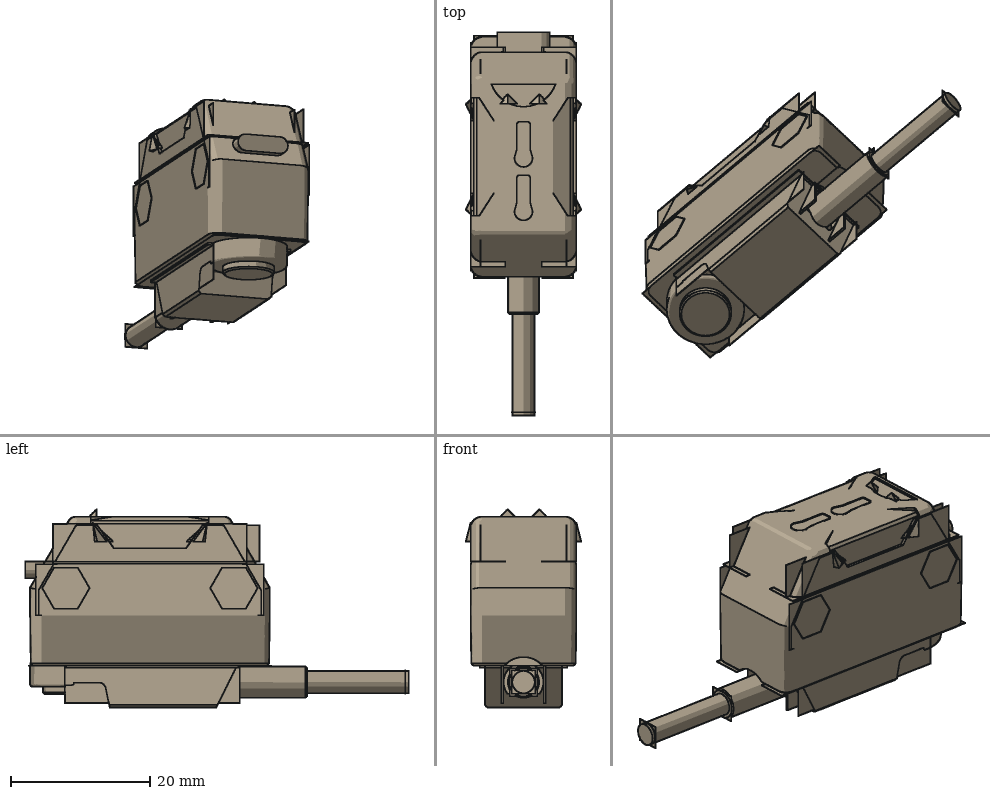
import cadquery as cq
import math

housing_width = 15.2
housing_length = 34.4
floor_z = 6.0
split_z = 13.23
shoulder_z = 17.2
top_z = 27.41
slope_angle = 60.0
top_edge_radius = 1.2
corner_radius = 1.65
lower_draft = 0.8
floor_chamfer = 0.35

half_width = housing_width / 2
half_length = housing_length / 2
slope_run = 1 / math.tan(math.radians(slope_angle))
top_half_length = half_length - (top_z - shoulder_z) * slope_run

foot_half_width = 5.55
foot_front_y = -12.9
foot_top_slope_y = -12.65
foot_bottom_front_y = -9.5
foot_bottom_rear_y = 5.76
foot_step_y = 6.5
foot_step_z = 3.6
foot_step_radius = 1.0
foot_rear_z = 3.0
pad_half_width = 6.3
pad_rear_y = 12.0
pad_bottom_z = 5.7
foot_rear_fillet = 0.4
foot_rear_center_y = half_length - foot_half_width
foot_bottom_chamfer = 0.4
rib_half_width = 3.2
rib_thickness = 0.3
rib_bottom_z = 0.64
boss_radius = 3.7
boss_bottom_z = 1.94
boss_chamfer = 0.25

cable_z = 3.67
cable_radius = 1.6
cable_end_y = -37.12
cable_collar_y = -36.6
sleeve_radius = 2.25
sleeve_end_y = -22.5
sleeve_chamfer = 0.2
sleeve_clearance_radius = 3.6
sleeve_recess_radius = 2.85
sleeve_recess_y = -10.5
sleeve_root_y = -9.5

window_width = 7.6
window_height = 2.43
window_z = 19.77
window_rear_y = 17.88
window_front_y = 13.5

key_stem_half_width = 0.95
key_head_radius = 1.3
key_length = 6.5
key_taper_length = 1.3
key_end_radius = 0.4
key_front_ys = (-1.45, -9.1)
mark_depth = 0.15

thumb_half_width = 4.6
thumb_rear_y = 10.45
thumb_front_y = 7.2
thumb_depth = 0.3

relief_inner_x = 4.25
relief_outer_x = 6.35
relief_slope_end_x = 6.73
relief_depth = 0.6
relief_half_length = 5.2
relief_end_half_length = 8.45
relief_floor_z = 22.9
side_relief_depth = 0.45

groove_bottom_z = 20.65
groove_top_z = 20.95
groove_depth = 0.1

hex_diameter = 6.8
hex_offset_y = 12.05
hex_z = 17.15
hex_depth = 0.1

web = 0.05
upper_web_half_length = 13.9
upper_web_top_z = 26.38
shelf_z = 21.0
inner_web_x = 6.2
inner_web_front_y = -15.75
inner_web_top_z = 26.2
lower_web_half_length = 16.35
lower_web_top_z = 20.6
foot_web_rear_y = 12.2
floor_web_half_width = 7.1
floor_web_half_length = 17.4
shelf_web_inner_x = 2.6
shelf_web_end_y = 15.75
cable_collar_half = 1.7
sleeve_collar_half = 2.0

lug_span = 16.59
side_lug_x = lug_span / 2
side_lug_bottom_z = 23.8
side_lug_top_z = 26.5
side_lug_y = 7.55
side_lug_end_y = 8.2
top_lug_x = 2.27
top_lug_half_width = 1.4
top_lug_tip_z = 28.46
top_lug_y = 7.65


def block(x_range, y_range, z_range):
    """Box between the two limits along each axis."""
    ranges = (x_range, y_range, z_range)
    sizes = [high - low for low, high in ranges]
    corner = [low for low, high in ranges]
    return cq.Workplane("XY").box(*sizes, centered=False).translate(tuple(corner))


def tetrahedron(points):
    """Solid with the four given corners."""
    vectors = [cq.Vector(*point) for point in points]
    faces = []
    for skipped in range(4):
        corners = [vector for index, vector in enumerate(vectors) if index != skipped]
        faces.append(cq.Face.makeFromWires(cq.Wire.makePolygon(corners, close=True)))
    return cq.Workplane(obj=cq.Solid.makeSolid(cq.Shell.makeShell(faces)).fix())


def side_profile(points, x_half):
    """Y-Z polygon extruded symmetrically across X."""
    return cq.Workplane("YZ").polyline(points).close().extrude(x_half, both=True)


def y_cylinder(radius, y_start, y_end):
    """Cylinder on the cable axis."""
    plane = cq.Workplane("XZ", origin=(0, y_start, cable_z))
    return plane.circle(radius).extrude(y_start - y_end)


def on_both_sides(feature):
    """The +X feature and its mirror image."""
    return [feature, feature.mirror("YZ")]


def make_cap():
    """Upper housing half: sloped ends, rounded side edges."""
    outline = [
        (-half_length, split_z),
        (half_length, split_z),
        (half_length, shoulder_z),
        (top_half_length, top_z),
        (-top_half_length, top_z),
        (-half_length, shoulder_z),
    ]
    cap = side_profile(outline, half_width)
    cap = cap.edges("|X").edges(">Z").fillet(top_edge_radius)
    rim = cap.faces("<X or >X").edges(cq.selectors.BoxSelector(
        (-housing_width, -housing_length, split_z + web),
        (housing_width, housing_length, top_z + web),
    ))
    return rim.fillet(corner_radius)


def make_lower_half():
    """Drafted lower housing half."""
    rounded = cq.Sketch().rect(housing_width, housing_length).vertices().fillet(corner_radius)
    lower = (
        cq.Workplane("XY", origin=(0, 0, split_z))
        .placeSketch(rounded)
        .extrude(floor_z - split_z, taper=lower_draft)
    )
    return lower.faces("<Z").chamfer(floor_chamfer)


def make_foot():
    """Foot with a sloped front, a stepped rear and a round tail carrying a boss."""
    outline = [
        (foot_top_slope_y, floor_z + floor_chamfer),
        (foot_bottom_front_y, 0),
        (foot_bottom_rear_y, 0),
        (foot_step_y, foot_step_z),
        (foot_rear_center_y, foot_step_z),
        (foot_rear_center_y, floor_z + floor_chamfer),
    ]
    foot = side_profile(outline, foot_half_width)
    step_edge = cq.selectors.NearestToPointSelector((0, foot_step_y, foot_step_z))
    foot = foot.edges("|X").edges(step_edge).fillet(foot_step_radius)
    foot = foot.faces("<Z").edges("|Y").chamfer(foot_bottom_chamfer)
    tail = (
        cq.Workplane("XY", origin=(0, foot_rear_center_y, foot_rear_z))
        .circle(foot_half_width)
        .extrude(floor_z + floor_chamfer - foot_rear_z)
        .faces("<Z").edges().fillet(foot_rear_fillet)
    )
    boss = (
        cq.Workplane("XY", origin=(0, foot_rear_center_y, boss_bottom_z))
        .circle(boss_radius)
        .extrude(floor_z - boss_bottom_z)
        .faces("<Z").edges().chamfer(boss_chamfer)
    )
    pad = block(
        (-pad_half_width, pad_half_width),
        (foot_top_slope_y, pad_rear_y),
        (pad_bottom_z, floor_z + floor_chamfer),
    )
    foot = foot.union(tail).union(boss).union(pad)
    foot = foot.cut(y_cylinder(sleeve_recess_radius, sleeve_recess_y, -housing_length))
    rib = block(
        (rib_half_width - rib_thickness, rib_half_width),
        (foot_front_y, foot_bottom_front_y),
        (rib_bottom_z, floor_z),
    )
    for copy in on_both_sides(rib):
        foot = foot.union(copy)
    return foot


def make_sleeve():
    """Strain-relief sleeve that carries the cable."""
    sleeve = y_cylinder(sleeve_radius, sleeve_root_y, sleeve_end_y)
    return sleeve.faces("<Y").chamfer(sleeve_chamfer)


def make_window():
    """Stadium-shaped indicator window standing out of the rear slope."""
    return (
        cq.Workplane("XZ", origin=(0, window_rear_y, window_z))
        .slot2D(window_width, window_height)
        .extrude(window_rear_y - window_front_y)
    )


def key_recess(front_y):
    """Key-shaped recess: narrow stem behind, round head in front."""
    head_y = front_y + key_head_radius
    taper_end_y = head_y + key_taper_length
    rear_y = front_y + key_length
    floor = cq.Workplane("XY", origin=(0, 0, top_z - mark_depth))
    stem = (
        floor.moveTo(-key_head_radius, head_y)
        .threePointArc((0, front_y), (key_head_radius, head_y))
        .lineTo(key_stem_half_width, taper_end_y)
        .lineTo(key_stem_half_width, rear_y)
        .lineTo(-key_stem_half_width, rear_y)
        .lineTo(-key_stem_half_width, taper_end_y)
        .close()
        .extrude(2 * mark_depth)
    )
    return stem.edges("|Z").edges(">Y").fillet(key_end_radius)


def thumb_recess():
    """Shallow D-shaped recess at the rear of the top."""
    return (
        cq.Workplane("XY", origin=(0, 0, top_z - thumb_depth))
        .moveTo(-thumb_half_width, thumb_rear_y)
        .threePointArc((0, thumb_front_y), (thumb_half_width, thumb_rear_y))
        .close()
        .extrude(2 * thumb_depth)
    )


def side_relief():
    """Relief over the +X top edge: a sloping trapezoid in the top and a trapezoid in the side."""
    side_floor_x = half_width - side_relief_depth
    outline = (
        cq.Workplane("XY", origin=(0, 0, relief_floor_z))
        .polyline([
            (relief_inner_x, -relief_half_length),
            (relief_outer_x, -relief_end_half_length),
            (housing_width, -relief_end_half_length),
            (housing_width, relief_end_half_length),
            (relief_outer_x, relief_end_half_length),
            (relief_inner_x, relief_half_length),
        ])
        .close()
        .extrude(top_z)
    )
    slope_end_z = top_z - relief_depth
    bevel_end_z = slope_end_z - (side_floor_x - relief_slope_end_x)
    section = (
        cq.Workplane("XZ")
        .polyline([
            (relief_inner_x, top_z),
            (relief_slope_end_x, slope_end_z),
            (side_floor_x, bevel_end_z),
            (housing_width, bevel_end_z),
            (housing_width, top_z + relief_depth),
            (relief_inner_x, top_z + relief_depth),
        ])
        .close()
        .extrude(housing_length, both=True)
    )
    top_part = outline.intersect(section)
    side_part = (
        cq.Workplane("YZ", origin=(side_floor_x, 0, 0))
        .polyline([
            (-relief_half_length, relief_floor_z),
            (relief_half_length, relief_floor_z),
            (relief_end_half_length, top_z),
            (-relief_end_half_length, top_z),
        ])
        .close()
        .extrude(2 * side_relief_depth)
    )
    return top_part.union(side_part)


def side_groove():
    """Shallow groove along the +X side."""
    return block(
        (half_width - groove_depth, housing_width),
        (-upper_web_half_length, upper_web_half_length),
        (groove_bottom_z, groove_top_z),
    )


def hex_marks():
    """Two shallow hexagonal recesses in the +X side."""
    return (
        cq.Workplane("YZ", origin=(half_width - hex_depth, 0, hex_z))
        .pushPoints([(-hex_offset_y, 0), (hex_offset_y, 0)])
        .polygon(6, hex_diameter)
        .extrude(2 * hex_depth)
    )


def side_webs():
    """Thin upright webs of the +X side and the level shelf between them."""
    outer_x = (half_width - web, half_width)
    upper = block(
        outer_x,
        (-upper_web_half_length, upper_web_half_length),
        (shelf_z, upper_web_top_z),
    )
    inner = block(
        (inner_web_x - web, inner_web_x),
        (inner_web_front_y, upper_web_half_length),
        (shelf_z, inner_web_top_z),
    )
    lower = block(
        outer_x,
        (-lower_web_half_length, lower_web_half_length),
        (split_z, lower_web_top_z),
    )
    foot = block(
        (foot_half_width - web, foot_half_width),
        (foot_front_y, foot_web_rear_y),
        (rib_bottom_z, floor_z + floor_chamfer),
    )
    shelf = block(
        (shelf_web_inner_x, half_width),
        (-shelf_web_end_y, shelf_web_end_y),
        (shelf_z - web, shelf_z),
    )
    return upper.union(inner).union(lower).union(foot).union(shelf)


def floor_web():
    """Thin plate along the underside of the housing."""
    return block(
        (-floor_web_half_width, floor_web_half_width),
        (-floor_web_half_length, floor_web_half_length),
        (floor_z, floor_z + web),
    )


def side_lug(direction):
    """Pointed lug at one end of the +X side relief; direction is the sign of its Y."""
    root_x = half_width - side_relief_depth - web
    return tetrahedron([
        (side_lug_x, direction * side_lug_y, side_lug_bottom_z),
        (root_x, direction * side_lug_end_y, side_lug_bottom_z),
        (root_x, direction * relief_half_length, side_lug_bottom_z),
        (half_width, direction * side_lug_end_y, side_lug_top_z),
    ])


def top_lug():
    """Pointed lug at the +X end of the thumb recess."""
    root_z = top_z - thumb_depth - web
    return tetrahedron([
        (top_lug_x, top_lug_y, top_lug_tip_z),
        (top_lug_x - top_lug_half_width, top_lug_y, root_z),
        (top_lug_x + top_lug_half_width, top_lug_y, root_z),
        (top_lug_x, top_lug_y + top_lug_half_width, root_z),
    ])


def make_housing():
    """Housing with its foot, sleeve and window."""
    housing = make_lower_half().union(make_cap())

    sleeve_room = y_cylinder(sleeve_clearance_radius, foot_front_y, -housing_length)
    housing = housing.cut(sleeve_room)
    housing = housing.union(make_foot()).union(make_sleeve()).union(make_window())
    housing = housing.union(floor_web().cut(sleeve_room))
    for webs in on_both_sides(side_webs()):
        housing = housing.union(webs)

    for front_y in key_front_ys:
        housing = housing.cut(key_recess(front_y))
    housing = housing.cut(thumb_recess())
    for side_cut in (side_relief(), side_groove(), hex_marks()):
        for copy in on_both_sides(side_cut):
            housing = housing.cut(copy)

    lugs = [side_lug(1), side_lug(-1), top_lug()]
    for lug in lugs:
        for copy in on_both_sides(lug):
            housing = housing.union(copy)
    return housing


def make_cable():
    """Cable leaving the sleeve, with thin square collars at both ends."""
    cable = y_cylinder(cable_radius, sleeve_end_y, cable_end_y)
    for rear_y, half_size in ((sleeve_end_y, sleeve_collar_half), (cable_collar_y, cable_collar_half)):
        collar = block(
            (-half_size, half_size),
            (rear_y - web, rear_y),
            (cable_z - half_size, cable_z + half_size),
        )
        cable = cable.union(collar)
    return cable


housing = make_housing()
cable = make_cable()

result = cq.Compound.makeCompound([housing.solids().val(), cable.solids().val()])